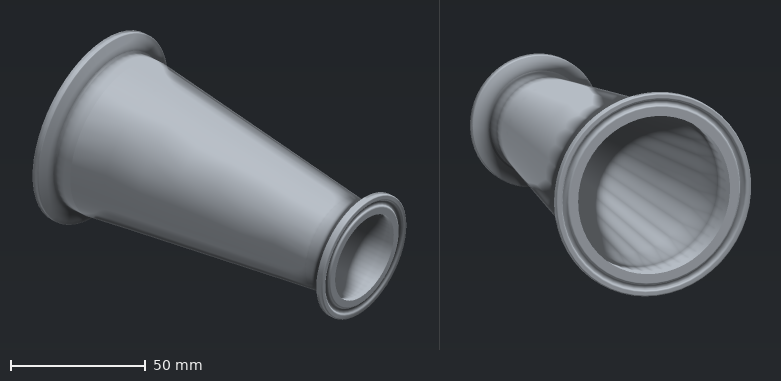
import cadquery as cq
import math

length = 127.0
neck_length = 12.7
wall = 1.7
large_tube_diameter = 63.5
small_tube_diameter = 38.1

large_rim_diameter = 77.3
small_rim_diameter = 50.4
rim_thickness = 2.8
back_slope = math.radians(20.0)
rim_edge_radius = 0.5
neck_fillet_radius = 1.0

groove_inset = 3.4
groove_radius = 1.1
groove_lip_radius = 0.8

x_left = -length / 2
x_right = length / 2
tolerance = 0.06


def revolve_about_x(profile):
    return profile.close().revolve(360, (0, 0, 0), (1, 0, 0))


def make_tube(large_radius, small_radius):
    """Straight neck, cone and straight neck as one solid of revolution."""
    return revolve_about_x(
        cq.Workplane("XY")
        .moveTo(x_left, 0)
        .lineTo(x_left, large_radius)
        .lineTo(x_left + neck_length, large_radius)
        .lineTo(x_right - neck_length, small_radius)
        .lineTo(x_right, small_radius)
        .lineTo(x_right, 0)
    )


def circles_at(x, radius):
    """Select the full circle of the given radius that lies in the plane at x."""
    inner = radius - tolerance
    outer = radius + tolerance
    near_x = x - tolerance
    far_x = x + tolerance
    up_to_circle = cq.selectors.BoxSelector(
        (near_x, -outer, -outer), (far_x, outer, outer), boundingbox=True
    )
    inside_circle = cq.selectors.BoxSelector(
        (near_x, -inner, -inner), (far_x, inner, inner), boundingbox=True
    )
    return up_to_circle - inside_circle


def make_groove(face_x, inward, center_radius):
    """Ring to cut: a groove arc centred on the face, with a tangent lip arc on each side."""
    arc_sum = groove_radius + groove_lip_radius
    lip_angle = math.acos(groove_lip_radius / arc_sum)
    half_width = arc_sum * math.sin(lip_angle)

    def lip_point(side, angle):
        depth = groove_lip_radius * (1 - math.cos(angle))
        offset = half_width - groove_lip_radius * math.sin(angle)
        return (face_x + inward * depth, center_radius + side * offset)

    return revolve_about_x(
        cq.Workplane("XY")
        .moveTo(*lip_point(1, 0))
        .threePointArc(lip_point(1, lip_angle / 2), lip_point(1, lip_angle))
        .threePointArc((face_x + inward * groove_radius, center_radius), lip_point(-1, lip_angle))
        .threePointArc(lip_point(-1, lip_angle / 2), lip_point(-1, 0))
    )


def add_ferrule(body, face_x, inward, rim_radius, tube_radius):
    """Add a clamp rim at face_x; inward (+1 or -1) is the X direction into the part."""
    rim_back_x = face_x + inward * rim_thickness
    slope_run = (rim_radius - tube_radius) * math.tan(back_slope)
    slope_end_x = rim_back_x + inward * slope_run
    rim = revolve_about_x(
        cq.Workplane("XY")
        .moveTo(face_x, 0)
        .lineTo(face_x, rim_radius)
        .lineTo(rim_back_x, rim_radius)
        .lineTo(slope_end_x, tube_radius)
        .lineTo(slope_end_x, 0)
    )
    body = body.union(rim)
    for edge_x in (face_x, rim_back_x):
        body = body.edges(circles_at(edge_x, rim_radius)).fillet(rim_edge_radius)
    body = body.edges(circles_at(slope_end_x, tube_radius)).fillet(neck_fillet_radius)

    return body.cut(make_groove(face_x, inward, rim_radius - groove_inset))


large_tube_radius = large_tube_diameter / 2
small_tube_radius = small_tube_diameter / 2

body = make_tube(large_tube_radius, small_tube_radius)
body = add_ferrule(body, x_left, 1, large_rim_diameter / 2, large_tube_radius)
body = add_ferrule(body, x_right, -1, small_rim_diameter / 2, small_tube_radius)

bore = make_tube(large_tube_radius - wall, small_tube_radius - wall)
result = body.cut(bore)